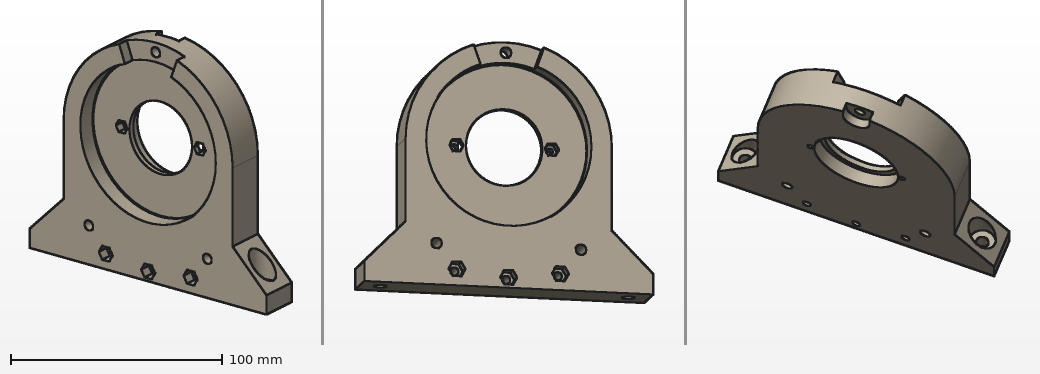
import cadquery as cq
import math

width = 140.0
depth = 20.0
height = 120.0
arch_radius = 50.0
arch_center_z = height - arch_radius
foot_height = 10.0
shoulder_z = foot_height + width / 2 - arch_radius

recess_radius = 40.0
recess_depth = 10.0
floor_ledge = 0.3
floor_radius = recess_radius - floor_ledge
floor_step = 0.4
bore_radius = 18.5
back_seat_radius = 21.3
back_seat_depth = 7.0

crown_half_angle = math.radians(20)
crown_notch_depth = 6.0

pin_hole_radius = 2.5
crown_hole_z = arch_center_z + (recess_radius + arch_radius) / 2
crown_slot_radius = 6.7
crown_slot_depth = 4.8
lower_hole_x = 35.0
lower_hole_z = 20.0

base_nut_corners = 8.1
base_nut_depth = 6.0
base_bolt_radius = 2.0
base_nut_x = 25.0
base_nut_z = 8.0
middle_nut_z = 5.0
seat_nut_corners = 6.9
seat_nut_depth = 5.0
seat_bolt_radius = 1.5
seat_nut_x = 23.1

mount_x = 60.0
mount_hole_radius = 3.0
mount_head_radius = 6.5
mount_seat_z = foot_height


def disc(x, z, radius, y_start, y_end):
    """Cylinder along Y, from y_start to y_end."""
    return (
        cq.Workplane("XZ", origin=(x, y_start, z))
        .circle(radius)
        .extrude(y_start - y_end)
    )


def nut_pocket(x, z, corners, bolt_radius, y_start, pocket_depth):
    """Hexagonal pocket sunk backwards from y_start, with a bolt hole through to the back."""
    pocket = (
        cq.Workplane("XZ", origin=(x, y_start, z))
        .polygon(6, corners)
        .extrude(-pocket_depth)
    )
    return pocket.union(disc(x, z, bolt_radius, y_start, depth))


def body():
    """Arched plate standing on two sloped feet."""
    foot_x = width / 2
    return (
        cq.Workplane("XZ")
        .moveTo(-foot_x, 0)
        .lineTo(foot_x, 0)
        .lineTo(foot_x, foot_height)
        .lineTo(arch_radius, shoulder_z)
        .lineTo(arch_radius, arch_center_z)
        .threePointArc((0, height), (-arch_radius, arch_center_z))
        .lineTo(-arch_radius, shoulder_z)
        .lineTo(-foot_x, foot_height)
        .close()
        .extrude(-depth)
    )


def round_opening():
    """Front recess with a narrow step at its floor, through bore and wider seat from the back."""
    recess = disc(0, arch_center_z, recess_radius, 0, recess_depth - floor_step)
    floor = disc(0, arch_center_z, floor_radius, 0, recess_depth)
    bore = disc(0, arch_center_z, bore_radius, 0, depth)
    back_seat = disc(0, arch_center_z, back_seat_radius, depth - back_seat_depth, depth)
    return recess.union(floor).union(bore).union(back_seat)


def crown_notch():
    """Wedge with its tip on the arch center, reaching beyond the rim."""
    reach_z = 2 * arch_radius
    reach_x = reach_z * math.tan(crown_half_angle)
    return (
        cq.Workplane("XZ", origin=(0, 0, arch_center_z))
        .polyline([(0, 0), (reach_x, reach_z), (-reach_x, reach_z)])
        .close()
        .extrude(-crown_notch_depth)
    )


def crown_hole():
    """Through hole with the open slot around it in the back face."""
    hole = disc(0, crown_hole_z, pin_hole_radius, 0, depth)
    slot_start = depth - crown_slot_depth
    round_end = disc(0, crown_hole_z, crown_slot_radius, slot_start, depth)
    open_end = (
        cq.Workplane("XY")
        .box(2 * crown_slot_radius, crown_slot_depth, arch_radius, centered=(True, False, False))
        .translate((0, slot_start, crown_hole_z))
    )
    return hole.union(round_end).union(open_end)


def mounting_hole(x):
    """Vertical screw hole whose head bore opens through the sloped shoulder."""
    hole = cq.Workplane("XY", origin=(x, depth / 2, 0)).circle(mount_hole_radius).extrude(shoulder_z)
    head = (
        cq.Workplane("XY", origin=(x, depth / 2, mount_seat_z))
        .circle(mount_head_radius)
        .extrude(shoulder_z - mount_seat_z)
    )
    return hole.union(head)


def base_nut_pocket(x, z):
    return nut_pocket(x, z, base_nut_corners, base_bolt_radius, 0, base_nut_depth)


def seat_nut_pocket(x):
    """Nut pocket sunk from the recess floor; its inner corner breaks into the back seat."""
    return nut_pocket(x, arch_center_z, seat_nut_corners, seat_bolt_radius, recess_depth, seat_nut_depth)


result = body().cut(round_opening()).cut(crown_notch()).cut(crown_hole())
result = result.cut(base_nut_pocket(0, middle_nut_z))
for side in (-1, 1):
    result = (
        result.cut(disc(side * lower_hole_x, lower_hole_z, pin_hole_radius, 0, depth))
        .cut(base_nut_pocket(side * base_nut_x, base_nut_z))
        .cut(seat_nut_pocket(side * seat_nut_x))
        .cut(mounting_hole(side * mount_x))
    )